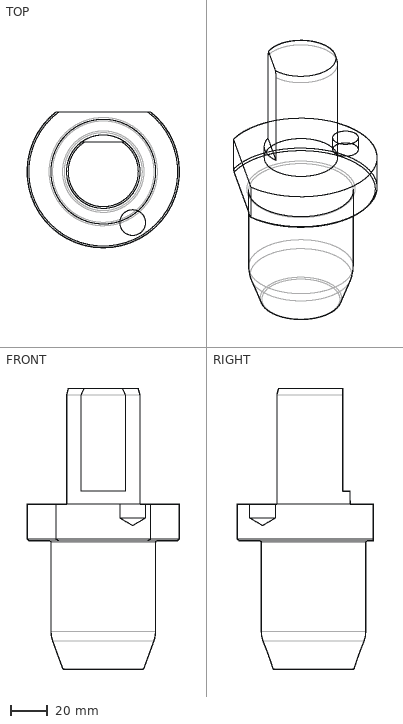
import cadquery as cq
import math


flange_diameter = 83.0
flange_thickness = 20.0
flange_flat_y = 32.5
flange_edge_chamfer = 1.0

body_diameter = 57.0
body_length = 70.0
neck_fillet_radius = 1.0
taper_angle = 20.0
taper_length = 18.0
taper_blend_radius = 15.0
tip_edge_radius = 1.0

shank_diameter = 40.0
shank_length = 63.0
shank_chamfer_height = 3.5
shank_chamfer_angle = 15.0
shank_flat_y = 16.0
shank_flat_start = 7.0

hole_diameter = 14.0
hole_pitch_radius = 32.0
hole_angle = -60.0
hole_depth = 7.5
drill_point_angle = 118.0

cut_margin = 1.0


def make_body():
    """Cylinder with a tapered lead-in; both taper edges are rounded."""
    radius = body_diameter / 2
    tip_radius = radius - taper_length * math.tan(math.radians(taper_angle))
    taper_top_z = taper_length - body_length
    profile = (
        cq.Workplane("XZ")
        .moveTo(0, 0)
        .lineTo(radius, 0)
        .lineTo(radius, taper_top_z)
        .lineTo(tip_radius, -body_length)
        .lineTo(0, -body_length)
        .close()
    )
    body = profile.revolve(360, (0, 0, 0), (0, 1, 0))
    taper_start = cq.selectors.BoxSelector(
        (-radius, -radius, taper_top_z - cut_margin),
        (radius, radius, taper_top_z + cut_margin),
    )
    body = body.edges(taper_start).edges("%CIRCLE").fillet(taper_blend_radius)
    return body.faces("<Z").edges().fillet(tip_edge_radius)


def make_flange():
    """Disc with a chamfered lower rim and a flat on the +Y side."""
    disc = cq.Workplane("XY").circle(flange_diameter / 2).extrude(flange_thickness)
    disc = disc.faces("<Z").edges().chamfer(flange_edge_chamfer)
    return disc.cut(make_flat_cutter(flange_flat_y, 0, flange_thickness))


def make_shank():
    """Pin with a steep top chamfer and a flat that stops above the flange."""
    chamfer_width = shank_chamfer_height * math.tan(math.radians(shank_chamfer_angle))
    top_z = flange_thickness + shank_length
    pin = (
        cq.Workplane("XY")
        .workplane(offset=flange_thickness)
        .circle(shank_diameter / 2)
        .extrude(shank_length)
        .faces(">Z")
        .chamfer(shank_chamfer_height, chamfer_width)
    )
    return pin.cut(make_flat_cutter(shank_flat_y, flange_thickness + shank_flat_start, top_z))


def make_flat_cutter(flat_y, bottom_z, top_z):
    """Block that removes everything beyond y = flat_y between two heights."""
    return cq.Workplane("XY").box(
        flange_diameter, flange_diameter, top_z - bottom_z, centered=(True, False, False)
    ).translate((0, flat_y, bottom_z))


def make_hole_cutter():
    """Drill shape: a cylinder ending in a conical point."""
    radius = hole_diameter / 2
    point_height = radius / math.tan(math.radians(drill_point_angle / 2))
    drill = (
        cq.Workplane("XZ")
        .moveTo(0, cut_margin)
        .lineTo(radius, cut_margin)
        .lineTo(radius, -hole_depth)
        .lineTo(0, -hole_depth - point_height)
        .close()
        .revolve(360, (0, 0, 0), (0, 1, 0))
    )
    angle = math.radians(hole_angle)
    return drill.translate(
        (hole_pitch_radius * math.cos(angle), hole_pitch_radius * math.sin(angle), flange_thickness)
    )


def add_neck_fillet(part):
    """Round the inside corner between the body and the flange seating face."""
    reach = body_diameter / 2 + cut_margin
    corner = cq.selectors.BoxSelector(
        (-reach, -reach, -neck_fillet_radius / 2),
        (reach, reach, neck_fillet_radius / 2),
        boundingbox=True,
    )
    return part.edges(corner).fillet(neck_fillet_radius)


part = make_flange().union(make_body()).union(make_shank())
part = add_neck_fillet(part)
result = part.cut(make_hole_cutter())